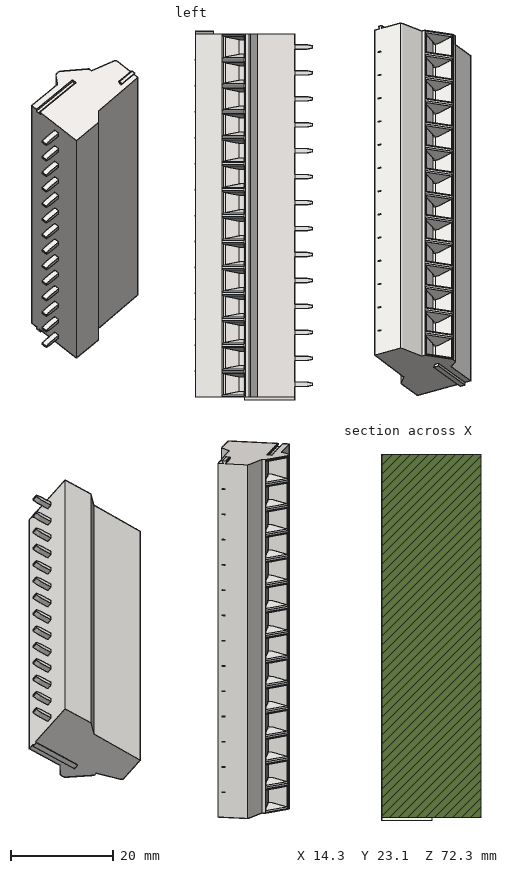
import cadquery as cq
import math

pole_count = 14
pitch = 5.08
body_height = pole_count * pitch

body_width = 14.25
back_y = 19.5
wall_x = 1.97
wall_top_y = 7.3
nose_bottom_y = 8.8
nose_top_y = 9.85
nose_chamfer = 0.15
ledge_y = 14.3
ledge_start_x = 3.7
ledge_end_x = 4.4
crown_x = 6.1
crown_chamfer_x = 0.25
crown_chamfer_y = 0.5
rear_top_x = 12.05
rear_foot_x = 12.28
rear_foot_y = 8.25
rear_slope_y = 6.2

slant_angle = math.atan2(ledge_y - nose_top_y, ledge_start_x)
slant_length = math.hypot(ledge_start_x, ledge_y - nose_top_y)
mouth_height = 4.7
mouth_length = slant_length - 0.2
lip_depth = 0.2
throat_height = 4.15
throat_length = mouth_length - 0.2
funnel_draft = 17.0
funnel_floor_x = 3.9
funnel_step_x = 3.72
funnel_step_y = 13.6
funnel_back_y = 13.95
slot_height = 2.75
slot_back_y = 10.95
slot_round_y = 10.75
slot_front_y = 9.9
slot_front_depth = 0.1
slot_depth = 0.6

pin_x = 8.87
pin_width = 1.1
pin_thickness = 0.9
pin_length = 3.5
pin_taper_length = 1.1
pin_tip_thickness = 0.45

rear_rib_x = 10.75
rear_rib_width = 0.9
rear_rib_neck = 0.45
rib_height = 0.58
rear_rib_chamfer_x = 0.2
rear_rib_chamfer_z = 0.1
rear_rib_length = 3.6
front_rib_left_x = 3.3
front_rib_width = 1.1
front_rib_neck = 0.8
front_rib_length = 9.9
groove_depth = 0.6
groove_length = 10.1
groove_lead_x = 0.2
groove_lead_z = 0.1

nub_x = 10.9
nub_width = 0.55
nub_height = 0.12
nub_overhang = 0.1


def make_body():
    """Housing: the outline extruded over all poles, with the nose edges broken."""
    outline = [
        (wall_x, 0),
        (body_width, 0),
        (body_width, rear_slope_y),
        (rear_foot_x, rear_foot_y),
        (rear_top_x, back_y),
        (crown_x, back_y),
        (crown_x - crown_chamfer_x, back_y - crown_chamfer_y),
        (ledge_end_x, ledge_y),
        (ledge_start_x, ledge_y),
        (0, nose_top_y),
        (0, nose_bottom_y),
        (wall_x, wall_top_y),
    ]
    body = cq.Workplane("XY").polyline(outline).close().extrude(body_height)
    for nose_y in (nose_bottom_y, nose_top_y):
        nose_edge = cq.selectors.NearestToPointSelector((0, nose_y, body_height / 2))
        body = body.edges(nose_edge).chamfer(nose_chamfer)
    return body


def prism(points, height):
    """Prism over an XY outline, centred on Z = 0."""
    return cq.Workplane("XY").polyline(points).close().extrude(height / 2, both=True)


def slant_x(y):
    """X of the slanted face at a given Y."""
    return ledge_start_x * (y - nose_top_y) / (ledge_y - nose_top_y)


def make_funnel():
    """Cutter for one wire entry, centred on Z = 0."""
    inward = (math.sin(slant_angle), -math.cos(slant_angle), 0)
    along = (math.cos(slant_angle), math.sin(slant_angle), 0)
    mouth_centre = (ledge_start_x / 2, (nose_top_y + ledge_y) / 2, 0)
    mouth = cq.Workplane(cq.Plane(mouth_centre, xDir=along, normal=inward))

    lip = (
        mouth.rect(mouth_length, mouth_height)
        .workplane(offset=lip_depth)
        .rect(throat_length, throat_height)
        .loft(combine=True)
    )
    tapered = (
        mouth.workplane(offset=lip_depth)
        .rect(2 * slant_length, throat_height)
        .extrude(slant_length / 2, taper=funnel_draft)
    )
    profile = [
        (0, slot_front_y),
        (funnel_floor_x, slot_front_y),
        (funnel_floor_x, funnel_step_y),
        (funnel_step_x, funnel_step_y),
        (funnel_step_x, funnel_back_y),
        (slant_x(funnel_back_y), funnel_back_y),
        (0, nose_top_y),
    ]
    throat = tapered.intersect(prism(profile, throat_height))

    slot_floor_x = funnel_floor_x + slot_depth
    slot = (
        cq.Workplane("XY")
        .moveTo(0, nose_top_y)
        .lineTo(slant_x(slot_back_y), slot_back_y)
        .lineTo(slot_floor_x, slot_back_y)
        .lineTo(slot_floor_x, slot_round_y)
        .tangentArcPoint((funnel_floor_x + slot_front_depth, slot_front_y), relative=False)
        .lineTo(0, slot_front_y)
        .close()
        .extrude(slot_height / 2, both=True)
    )
    return lip.union(throat).union(slot)


def make_pin():
    """One pin, centred on Z = 0, with its tip thinned in Z."""
    half = pin_thickness / 2
    tip_half = pin_tip_thickness / 2
    taper_y = pin_taper_length - pin_length
    side = [
        (back_y / 2, -half),
        (back_y / 2, half),
        (taper_y, half),
        (-pin_length, tip_half),
        (-pin_length, -tip_half),
        (taper_y, -half),
    ]
    pin = cq.Workplane("YZ").polyline(side).close().extrude(pin_width / 2, both=True)
    return pin.translate((pin_x, 0, 0))


def make_rear_rib():
    """Dovetail rib standing on Z = 0 and running forward from the rear face."""
    section = [
        (rear_rib_x - rear_rib_neck / 2, 0),
        (rear_rib_x + rear_rib_neck / 2, 0),
        (rear_rib_x + rear_rib_width / 2, rib_height),
        (rear_rib_x - rear_rib_width / 2 + rear_rib_chamfer_x, rib_height),
        (rear_rib_x - rear_rib_width / 2, rib_height - rear_rib_chamfer_z),
    ]
    rib = cq.Workplane("XZ").polyline(section).close().extrude(rear_rib_length)
    return rib.translate((0, back_y, 0))


def make_front_rib(height, length):
    """Half dovetail hanging below Z = 0 and running back from the pin face."""
    section = [
        (front_rib_left_x, 0),
        (front_rib_left_x + front_rib_neck, 0),
        (front_rib_left_x + front_rib_width, -height),
        (front_rib_left_x, -height),
    ]
    return cq.Workplane("XZ").polyline(section).close().extrude(-length)


def make_groove():
    """Mating groove for the front rib, with a lead-in chamfer along its undercut side."""
    neck_x = front_rib_left_x + front_rib_neck
    lead_in = [
        (front_rib_left_x, 0),
        (neck_x + groove_lead_x, 0),
        (neck_x, -groove_lead_z),
        (front_rib_left_x, -groove_lead_z),
    ]
    lead = cq.Workplane("XZ").polyline(lead_in).close().extrude(-groove_length)
    groove = make_front_rib(groove_depth, groove_length).union(lead)
    return groove.translate((0, 0, body_height))


def make_nub():
    """Nub on the rear face, centred on Z = 0."""
    return cq.Workplane("XY").box(nub_width, 2 * nub_overhang, nub_height).translate((nub_x, back_y, 0))


result = make_body()

funnel = make_funnel()
pin = make_pin()
for pole in range(pole_count):
    pole_z = (pole + 0.5) * pitch
    result = result.cut(funnel.translate((0, 0, pole_z)))
    result = result.union(pin.translate((0, 0, pole_z)))

nub = make_nub()
for joint in range(1, pole_count):
    result = result.union(nub.translate((0, 0, joint * pitch)))

result = result.union(make_rear_rib().translate((0, 0, body_height)))
result = result.union(make_front_rib(rib_height, front_rib_length))
result = result.cut(make_groove())